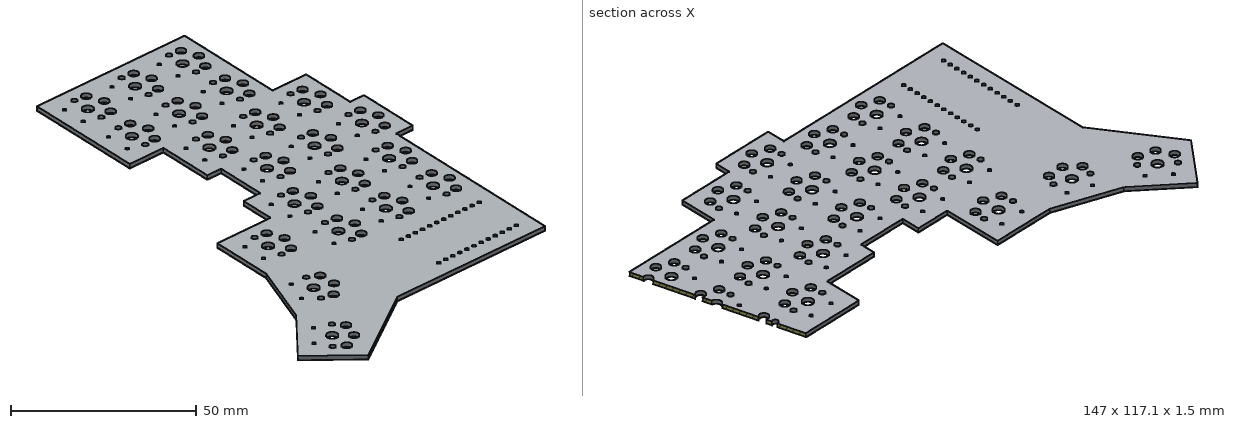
import cadquery as cq
import math

plate_thickness = 1.5
plate_turn = -15.0

four_columns_width = 72.0
three_rows_height = 51.0
column_pitch = four_columns_width / 4
row_pitch = three_rows_height / 3
row_count = 3
edge_margin = 1.0
half_width = column_pitch / 2 + edge_margin
half_height = row_pitch / 2 + edge_margin

outer_stagger = 0.0
ring_stagger = 12.0
middle_stagger = row_pitch
inner_stagger = 11.0
column_staggers = [
    outer_stagger,
    outer_stagger,
    ring_stagger,
    middle_stagger,
    inner_stagger,
    inner_stagger,
]

thumb_keys = [
    (83.0, -8.1, 0.0),
    (106.7, -12.5, -20.0),
    (127.7, -24.2, -40.0),
]

center_hole_diameter = 3.4
pin_hole_diameter = 3.0
side_pin_x = 5.0
side_pin_y = 3.8
top_pin_y = 5.9
peg_hole_diameter = 1.8
peg_spacing = 11.0
diode_hole_diameter = 0.98
diode_x = 3.8
diode_y = -5.0

controller_hole_diameter = 1.09
controller_hole_count = 12
controller_row_length = 27.9
controller_row_spacing = 15.3
controller_center_x = 112.0
controller_center_y = 35.0

overall_length = 147.0


def turned(x, y, angle):
    """Point (x, y) turned by an angle in degrees about the origin."""
    cosine = math.cos(math.radians(angle))
    sine = math.sin(math.radians(angle))
    return x * cosine - y * sine, x * sine + y * cosine


def place_on_key(x, y, key):
    """Point (x, y), given about a key's centre, in plate coordinates."""
    key_x, key_y, angle = key
    turned_x, turned_y = turned(x, y, angle)
    return key_x + turned_x, key_y + turned_y


def column_left(column):
    return column * column_pitch - half_width


def column_right(column):
    return column * column_pitch + half_width


def column_bottom(column):
    return column_staggers[column] - half_height


def column_top(column):
    return column_staggers[column] + (row_count - 1) * row_pitch + half_height


def right_edge():
    """Position of the edge beyond the controller.

    The lower left and upper right corners are the extremes of the turned plate along X.
    """
    corner_rise = column_top(4) - column_bottom(0)
    turn = math.radians(plate_turn)
    return column_left(0) + (overall_length + corner_rise * math.sin(turn)) / math.cos(turn)


def plate_outline():
    """Corners of the plate, clockwise from its lower left corner."""
    inner_thumb, _, outer_thumb = thumb_keys
    upper_edge = [
        (column_left(0), column_bottom(0)),
        (column_left(0), column_top(0)),
        (column_left(2), column_top(0)),
        (column_left(2), column_top(2)),
        (column_left(3), column_top(2)),
        (column_left(3), column_top(3)),
        (column_right(3), column_top(3)),
        (column_right(3), column_top(4)),
        (right_edge(), column_top(4)),
        (right_edge(), column_bottom(4)),
    ]
    thumb_edge = [
        place_on_key(half_width, half_height, outer_thumb),
        place_on_key(half_width, -half_height, outer_thumb),
        place_on_key(-half_width, -half_height, outer_thumb),
        place_on_key(half_width, -half_height, inner_thumb),
        place_on_key(-half_width, -half_height, inner_thumb),
    ]
    inner_thumb_left = thumb_edge[-1][0]
    lower_edge = [
        (inner_thumb_left, column_bottom(4)),
        (column_left(4), column_bottom(4)),
        (column_left(4), column_bottom(3)),
        (column_right(2), column_bottom(3)),
        (column_right(2), column_bottom(2)),
        (column_right(1), column_bottom(2)),
        (column_right(1), column_bottom(0)),
    ]
    return upper_edge + thumb_edge + lower_edge


def all_keys():
    """Centre and turn of every switch."""
    grid_keys = [
        (column * column_pitch, stagger + row * row_pitch, 0.0)
        for column, stagger in enumerate(column_staggers)
        for row in range(row_count)
    ]
    return grid_keys + thumb_keys


def controller_points():
    """Centres of the holes in both controller rows."""
    hole_pitch = controller_row_length / (controller_hole_count - 1)
    first_y = controller_center_y - controller_row_length / 2
    return [
        (controller_center_x + side * controller_row_spacing / 2, first_y + index * hole_pitch)
        for side in (-1, 1)
        for index in range(controller_hole_count)
    ]


def hole_pins(points, diameter):
    """Cylinders through the plate thickness, to be cut away."""
    return cq.Workplane("XY").pushPoints(points).circle(diameter / 2).extrude(plate_thickness)


switch_holes = [
    (center_hole_diameter, [(0, 0)]),
    (pin_hole_diameter, [(-side_pin_x, side_pin_y), (0, top_pin_y), (side_pin_x, side_pin_y)]),
    (peg_hole_diameter, [(-peg_spacing / 2, 0), (peg_spacing / 2, 0)]),
    (diode_hole_diameter, [(-diode_x, diode_y), (diode_x, diode_y)]),
]

plate = cq.Workplane("XY").polyline(plate_outline()).close().extrude(plate_thickness)

for hole_diameter, hole_offsets in switch_holes:
    hole_points = [place_on_key(x, y, key) for key in all_keys() for x, y in hole_offsets]
    plate = plate.cut(hole_pins(hole_points, hole_diameter))

plate = plate.cut(hole_pins(controller_points(), controller_hole_diameter))

result = plate.rotate((0, 0, 0), (0, 0, 1), plate_turn)